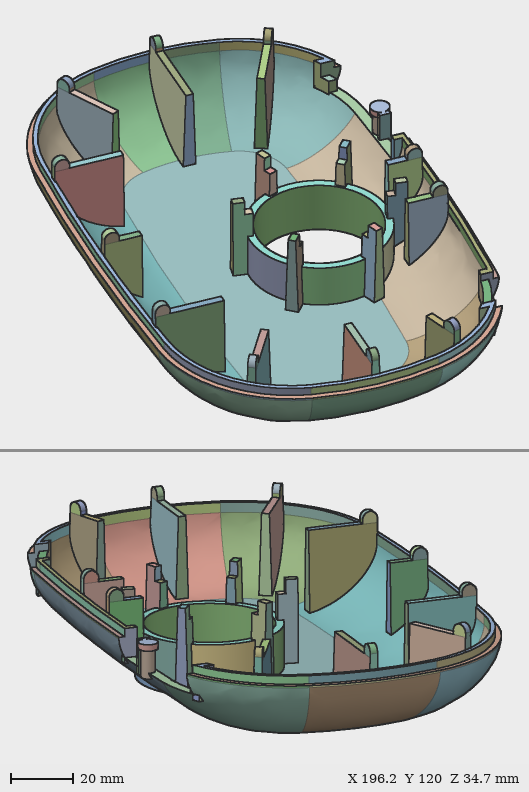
import cadquery as cq
import math

HALF_LENGTH = 98.1
HALF_WIDTH = 60.0
END_RADIUS = 94.2
CORNER_RADIUS = 47.1
SIDE_RADIUS = 785.1

RIM_Z = 23.5
FLOOR_THICKNESS = 3.0
FLOOR_INSET = 30.2
WALL = 3.5
CURVE_POWER = 1.7
SECTION_COUNT = 9

LIP_TOP = 24.1
TONGUE_TOP = 26.9
TONGUE_INSET = 2.0

RIB_TOP = 30.8
RIB_TOP_THICKNESS = 2.5
RIB_BASE_THICKNESS = 4.5
PIN_TOP = 34.7
PIN_LENGTH = 5.1
RIB_LINES = [
    ((-94.6, 0), (-64.0, 0)),
    ((94.2, 0), (70.7, 0)),
    ((-84.5, 36.0), (-63.5, 24.5)),
    ((-84.5, -36.5), (-64.0, -25.5)),
    ((88.7, 30.5), (76.0, 26.0)),
    ((82.8, -38.3), (63.5, -26.0)),
    ((-42.8, -55.7), (-42.8, -32.0)),
    ((42.8, -55.7), (42.8, -32.0)),
    ((0, -56.0), (0, -43.0)),
    ((-5.9, 56.3), (-5.9, 44.5)),
    ((15.9, 56.3), (15.9, 42.5)),
]

HOLE_X = 0.0
HOLE_Y = 18.8
HOLE_DIAMETER = 42.4
RING_DIAMETER = 47.9
RING_TOP = 17.5

FIN_COUNT = 6
FIN_START_ANGLE = 20.0
FIN_INNER = 22.0
FIN_STEP = 24.7
FIN_OUTER = 28.7
FIN_STEP_Z = 26.1

OPENING_FLOOR = 17.0
LEFT_OPENING = (-68.9, -24.0)
RIGHT_OPENING = (57.0, 71.6)
OPENING_DEPTH = 6.3
ROOT_Z = OPENING_FLOOR - 2.0
RETURN_THICKNESS = 2.4
SCREEN_TOP = 24.3
STEP_LENGTH = 3.1
STEP_TOP = 21.5

CATCH_X = -40.2
CATCH_Y = 56.1
POST_DIAMETER = 4.7
HEAD_DIAMETER = 6.5
HEAD_BOTTOM = 24.7
CATCH_PLATE_X = -36.3
CATCH_PLATE_THICKNESS = 1.5
CATCH_PLATE_WIDTH = 4.0


def corner_centre():
    """Centre of the corner arc tangent to the end arc and the side arc."""
    end_x = HALF_LENGTH - END_RADIUS
    side_y = HALF_WIDTH - SIDE_RADIUS
    end_reach = END_RADIUS - CORNER_RADIUS
    side_reach = SIDE_RADIUS - CORNER_RADIUS
    span = math.hypot(end_x, side_y)
    along = (end_reach**2 - side_reach**2 + span**2) / (2 * span)
    across = math.sqrt(end_reach**2 - along**2)
    unit_x = -end_x / span
    unit_y = side_y / span
    return end_x + along * unit_x - across * unit_y, along * unit_y + across * unit_x


CORNER_X, CORNER_Y = corner_centre()
END_ANGLE = math.atan2(CORNER_Y, CORNER_X - (HALF_LENGTH - END_RADIUS))
SIDE_ANGLE = math.atan2(CORNER_Y - (HALF_WIDTH - SIDE_RADIUS), CORNER_X)


def outline(inset, z):
    """Closed rim outline moved inward by inset, on a plane at height z."""
    radius = CORNER_RADIUS - inset

    def corner_point(angle):
        return CORNER_X + radius * math.cos(angle), CORNER_Y + radius * math.sin(angle)

    end_x, end_y = corner_point(END_ANGLE)
    mid_x, mid_y = corner_point((END_ANGLE + SIDE_ANGLE) / 2)
    side_x, side_y = corner_point(SIDE_ANGLE)
    tip_x = HALF_LENGTH - inset
    tip_y = HALF_WIDTH - inset
    return (
        cq.Workplane("XY", origin=(0, 0, z))
        .moveTo(end_x, -end_y)
        .threePointArc((tip_x, 0), (end_x, end_y))
        .threePointArc((mid_x, mid_y), (side_x, side_y))
        .threePointArc((0, tip_y), (-side_x, side_y))
        .threePointArc((-mid_x, mid_y), (-end_x, end_y))
        .threePointArc((-tip_x, 0), (-end_x, -end_y))
        .threePointArc((-mid_x, -mid_y), (-side_x, -side_y))
        .threePointArc((0, -tip_y), (side_x, -side_y))
        .threePointArc((mid_x, -mid_y), (end_x, -end_y))
        .close()
    )


def prism(inset, bottom, top):
    return outline(inset, bottom).extrude(top - bottom)


def band(outer_inset, inner_inset, bottom, top):
    """Upright wall that follows the rim."""
    return prism(outer_inset, bottom, top).cut(prism(inner_inset, bottom, top))


def bowl(top_inset, bottom_z):
    """Solid bowl curving from the rim height down to a flat bottom."""
    exponent = 2 / CURVE_POWER
    wires = [outline(top_inset, RIM_Z).wires().val()]
    for index in range(1, SECTION_COUNT - 1):
        angle = math.pi / 2 * index / (SECTION_COUNT - 1)
        inset = FLOOR_INSET - (FLOOR_INSET - top_inset) * math.cos(angle) ** exponent
        z = RIM_Z - (RIM_Z - bottom_z) * math.sin(angle) ** exponent
        wires.append(outline(inset, z).wires().val())
    wires.append(outline(FLOOR_INSET, bottom_z).wires().val())
    return cq.Workplane(cq.Solid.makeLoft(wires))


def back_slab(start, end, bottom, top):
    """Box over the x range start to end, covering the back half."""
    box = cq.Workplane("XY").box(end - start, HALF_WIDTH, top - bottom, centered=False)
    return box.translate((start, 0, bottom))


outer_bowl = bowl(0, 0)
shell = (
    outer_bowl.union(prism(0, RIM_Z, LIP_TOP))
    .union(prism(TONGUE_INSET, LIP_TOP, TONGUE_TOP))
    .cut(bowl(WALL, FLOOR_THICKNESS))
    .cut(prism(WALL, RIM_Z, TONGUE_TOP))
)


def rim_piece(start, end, outer_inset, top):
    """Stretch of upright wall along the back rim, between two x positions."""
    wall = band(outer_inset, OPENING_DEPTH, ROOT_Z, top)
    return wall.intersect(back_slab(start, end, ROOT_Z, top))


for start, end in (LEFT_OPENING, RIGHT_OPENING):
    shell = shell.cut(back_slab(start, end, OPENING_FLOOR, TONGUE_TOP))
    shell = shell.union(rim_piece(start - RETURN_THICKNESS, start, TONGUE_INSET, TONGUE_TOP))
    shell = shell.union(rim_piece(end, end + RETURN_THICKNESS, TONGUE_INSET, TONGUE_TOP))

step_start = LEFT_OPENING[0]
shell = shell.union(rim_piece(step_start, step_start + STEP_LENGTH, WALL, STEP_TOP))
shell = shell.union(rim_piece(*RIGHT_OPENING, WALL, SCREEN_TOP))


def cylinder(x, y, diameter, bottom, top):
    return cq.Workplane("XY", origin=(x, y, bottom)).circle(diameter / 2).extrude(top - bottom)


shell = shell.union(cylinder(CATCH_X, CATCH_Y, POST_DIAMETER, ROOT_Z, HEAD_BOTTOM))
shell = shell.union(cylinder(CATCH_X, CATCH_Y, HEAD_DIAMETER, HEAD_BOTTOM, TONGUE_TOP))
catch_plate = cq.Workplane("XY", origin=(CATCH_PLATE_X, CATCH_Y, ROOT_Z)).box(
    CATCH_PLATE_THICKNESS, CATCH_PLATE_WIDTH, TONGUE_TOP - ROOT_Z, centered=(True, True, False)
)
shell = shell.union(catch_plate)


def drafted_plate(length):
    """Plate along +X from the origin, thinner at the top."""
    return (
        cq.Workplane("YZ")
        .moveTo(-RIB_BASE_THICKNESS / 2, 0)
        .lineTo(RIB_BASE_THICKNESS / 2, 0)
        .lineTo(RIB_TOP_THICKNESS / 2, RIB_TOP)
        .lineTo(-RIB_TOP_THICKNESS / 2, RIB_TOP)
        .close()
        .extrude(length)
    )


def rib(wall_end, free_end):
    dx = free_end[0] - wall_end[0]
    dy = free_end[1] - wall_end[1]
    radius = PIN_LENGTH / 2
    pin = (
        cq.Workplane("XZ")
        .moveTo(0, RIM_Z)
        .lineTo(0, PIN_TOP - radius)
        .threePointArc((radius, PIN_TOP), (PIN_LENGTH, PIN_TOP - radius))
        .lineTo(PIN_LENGTH, RIM_Z)
        .close()
        .extrude(RIB_TOP_THICKNESS / 2, both=True)
    )
    return (
        drafted_plate(math.hypot(dx, dy))
        .union(pin)
        .rotate((0, 0, 0), (0, 0, 1), math.degrees(math.atan2(dy, dx)))
        .translate((wall_end[0], wall_end[1], 0))
    )


envelope = outer_bowl.union(prism(TONGUE_INSET, RIM_Z, PIN_TOP))
for wall_end, free_end in RIB_LINES:
    shell = shell.union(rib(wall_end, free_end).intersect(envelope))

shell = shell.union(cylinder(HOLE_X, HOLE_Y, RING_DIAMETER, 0, RING_TOP))
step_cut = (
    cq.Workplane("XY")
    .box(FIN_STEP - FIN_INNER, RIB_BASE_THICKNESS, RIB_TOP - FIN_STEP_Z, centered=(False, True, False))
    .translate((0, 0, FIN_STEP_Z))
)
fin = drafted_plate(FIN_OUTER - FIN_INNER).cut(step_cut).translate((FIN_INNER, 0, 0))
for index in range(FIN_COUNT):
    angle = FIN_START_ANGLE + index * 360 / FIN_COUNT
    placed_fin = fin.rotate((0, 0, 0), (0, 0, 1), angle).translate((HOLE_X, HOLE_Y, 0))
    shell = shell.union(placed_fin.intersect(envelope))
shell = shell.cut(cylinder(HOLE_X, HOLE_Y, HOLE_DIAMETER, 0, RING_TOP))

result = shell